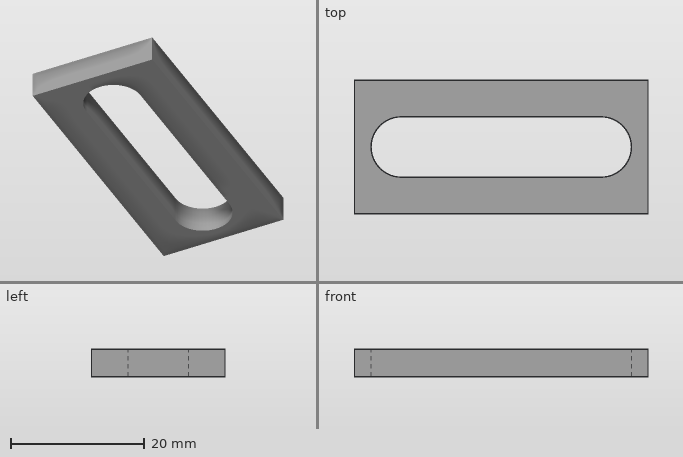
import cadquery as cq

plate_length = 44.0
plate_width = 20.0
plate_thickness = 4.2

slot_length = 39.0
slot_width = 9.0

plate = cq.Workplane("XY").box(plate_length, plate_width, plate_thickness)

result = plate.faces(">Z").workplane().slot2D(slot_length, slot_width).cutThruAll()